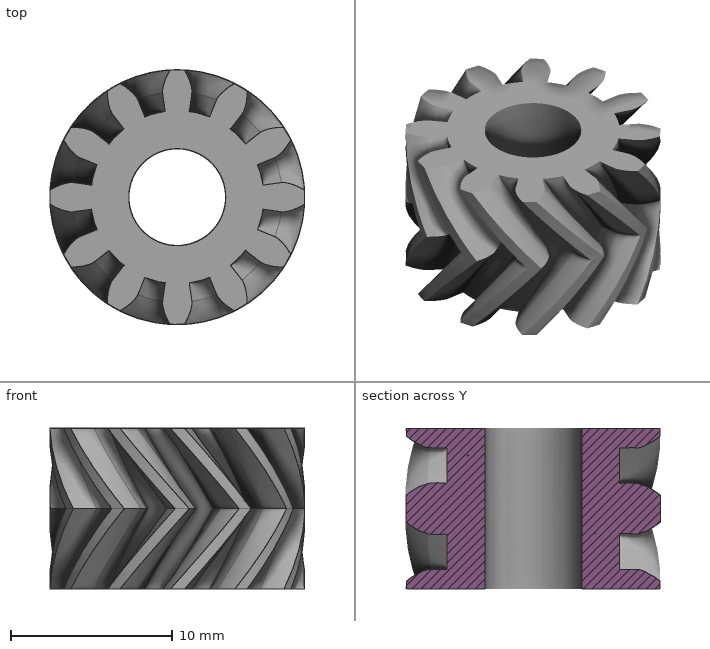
import cadquery as cq
import math

tooth_count = 12
tip_radius = 7.91
base_radius = 6.53
root_radius = 5.38
tooth_foot_depth = 0.63
bore_diameter = 6.0
face_width = 10.0
half_width = face_width / 2
base_half_angle = math.radians(8.0)
half_twist = 32.2
flank_steps = 5

foot_radius = root_radius - tooth_foot_depth
tip_roll = math.sqrt((tip_radius / base_radius) ** 2 - 1)


def polar(radius, angle):
    return (radius * math.cos(angle), radius * math.sin(angle))


def flank_points(side):
    """Involute from base circle to tip; side is -1 for the clockwise flank, +1 for the other."""
    points = []
    for step in range(flank_steps + 1):
        roll = tip_roll * step / flank_steps
        radius = base_radius * math.sqrt(1 + roll**2)
        turn = roll - math.atan(roll)
        points.append(polar(radius, side * (base_half_angle - turn)))
    return points


def tooth_outline():
    """One tooth along +X: radial sides up to the base circle, involute flanks, round tip."""
    rising = flank_points(-1)
    falling = flank_points(1)[::-1]
    return (
        cq.Workplane("XY")
        .moveTo(*polar(foot_radius, -base_half_angle))
        .lineTo(*rising[0])
        .spline(rising[1:], includeCurrent=True)
        .threePointArc((tip_radius, 0), falling[0])
        .spline(falling[1:], includeCurrent=True)
        .lineTo(*polar(foot_radius, base_half_angle))
        .close()
    )


def herringbone_tooth():
    """Helical lower half joined to its mirror image above the middle plane."""
    lower_half = tooth_outline().twistExtrude(half_width, half_twist)
    upper_half = lower_half.mirror("XY", (0, 0, half_width))
    return lower_half.union(upper_half)


pinion = cq.Workplane("XY").circle(root_radius).extrude(face_width)
tooth = herringbone_tooth()
for index in range(tooth_count):
    tooth_angle = index * 360 / tooth_count
    pinion = pinion.union(tooth.rotate((0, 0, 0), (0, 0, 1), tooth_angle))

bore = cq.Workplane("XY").circle(bore_diameter / 2).extrude(face_width)
result = pinion.cut(bore)